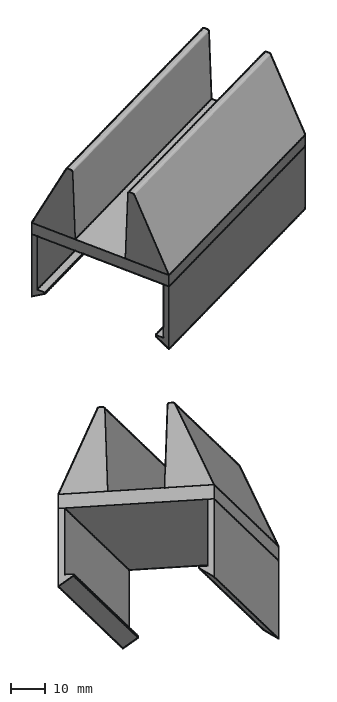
import cadquery as cq
import math

width = 46.0
length = 75.0
total_height = 52.17
half_width = width / 2

jaw_height = 25.0
leg_height = 23.0
plate_thickness = total_height - jaw_height - leg_height
plate_top = leg_height + plate_thickness

slot_half_width_top = 9.25
wall_lean = 2.0
slot_half_width_bottom = slot_half_width_top - jaw_height * math.tan(math.radians(wall_lean))
crest_width = 2.0
crest_radius = 0.75

leg_thickness = 1.9
hook_reach = 4.5
hook_height = 3.4
hook_tip_height = 0.5


def extrude_profile(profile):
    """Extrude a closed XZ profile over the full length, centred on Y = 0."""
    return profile.extrude(length / 2, both=True)


def make_plate():
    """Flat plate that the jaws stand on and the legs hang from."""
    plate_bottom = cq.Workplane("XY").workplane(offset=leg_height)
    return plate_bottom.rect(width, length).extrude(plate_thickness)


def make_jaw(side):
    """Wedge-shaped jaw with a leaning slot wall and a rounded crest."""
    profile = (
        cq.Workplane("XZ")
        .moveTo(side * half_width, plate_top)
        .lineTo(side * (slot_half_width_top + crest_width), total_height)
        .lineTo(side * slot_half_width_top, total_height)
        .lineTo(side * slot_half_width_bottom, plate_top)
        .close()
    )
    return extrude_profile(profile).faces(">Z").edges("|Y").fillet(crest_radius)


def make_leg(side):
    """Thin leg with an inward snap hook at its foot."""
    hook_tip = half_width - hook_reach
    leg_inner = half_width - leg_thickness
    profile = (
        cq.Workplane("XZ")
        .moveTo(side * half_width, leg_height)
        .lineTo(side * half_width, 0)
        .lineTo(side * hook_tip, hook_height - hook_tip_height)
        .lineTo(side * hook_tip, hook_height)
        .lineTo(side * leg_inner, hook_height)
        .lineTo(side * leg_inner, leg_height)
        .close()
    )
    return extrude_profile(profile)


plate = make_plate()
jaws = [make_jaw(side) for side in (-1, 1)]
legs = [make_leg(side) for side in (-1, 1)]

result = cq.Compound.makeCompound(
    [plate.val()] + [jaw.val() for jaw in jaws] + [leg.val() for leg in legs]
)